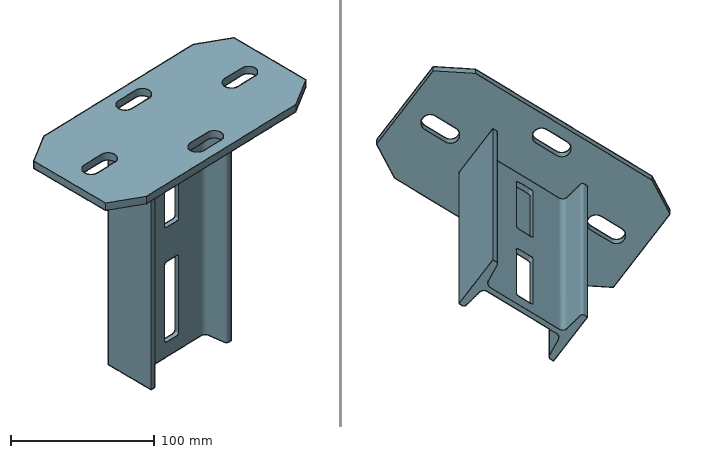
import cadquery as cq

TOTAL_HEIGHT = 202.5

PLATE_WIDTH = 100.0
PLATE_LENGTH = 200.0
PLATE_THICKNESS = 6.5
CORNER_CUT_X = 15.0
CORNER_CUT_Y = 25.5

PLATE_SLOT_WIDTH = 13.0
PLATE_SLOT_LENGTH = 30.0
SLOT_SPACING_X = 70.0
SLOT_SPACING_Y = 2 * SLOT_SPACING_X

POST_HEIGHT = TOTAL_HEIGHT - PLATE_THICKNESS
SECTION_DEPTH = 80.0
FLANGE_WIDTH = 42.0
WEB_THICKNESS = 3.8
FLANGE_THICKNESS = 6.0
FLANGE_TAPER = 0.14
ROOT_RADIUS = 4.0
TIP_RADIUS = 2.2

WINDOW_WIDTH = 14.0
WINDOW_LENGTH = 70.0
WINDOW_PITCH = 100.0
WINDOW_CORNER_RADIUS = 2.0


def make_plate():
    """Head plate with four cut corners and four slots."""
    half_width = PLATE_WIDTH / 2
    half_length = PLATE_LENGTH / 2
    inner_x = half_width - CORNER_CUT_X
    inner_y = half_length - CORNER_CUT_Y
    outline = [
        (half_width, inner_y),
        (inner_x, half_length),
        (-inner_x, half_length),
        (-half_width, inner_y),
        (-half_width, -inner_y),
        (-inner_x, -half_length),
        (inner_x, -half_length),
        (half_width, -inner_y),
    ]
    slot_centres = [
        (SLOT_SPACING_X / 2, 0),
        (-SLOT_SPACING_X / 2, 0),
        (0, SLOT_SPACING_Y / 2),
        (0, -SLOT_SPACING_Y / 2),
    ]
    base_plane = cq.Workplane("XY", origin=(0, 0, POST_HEIGHT))
    blank = base_plane.polyline(outline).close().extrude(PLATE_THICKNESS)
    slots = (
        base_plane
        .pushPoints(slot_centres)
        .slot2D(PLATE_SLOT_LENGTH, PLATE_SLOT_WIDTH, angle=90)
        .extrude(PLATE_THICKNESS)
    )
    return blank.cut(slots)


def flange_inner_y(x):
    """Distance from the section centre to the tapered inner flange face at x."""
    return SECTION_DEPTH / 2 - FLANGE_THICKNESS + FLANGE_TAPER * (x - FLANGE_WIDTH / 4)


def edges_at(x, y):
    """Selector for the four vertical edges at (+-x, +-y)."""
    margin = TIP_RADIUS / 2
    boxes = [
        cq.selectors.BoxSelector(
            (side_x - margin, side_y - margin, 0),
            (side_x + margin, side_y + margin, POST_HEIGHT),
        )
        for side_x in (-x, x)
        for side_y in (-y, y)
    ]
    near_corners = boxes[0] + boxes[1] + boxes[2] + boxes[3]
    return cq.selectors.StringSyntaxSelector("|Z") & near_corners


def make_i_section():
    """Post body before the web windows, with rounded flange tips and roots."""
    half_depth = SECTION_DEPTH / 2
    tip_x = FLANGE_WIDTH / 2
    root_x = WEB_THICKNESS / 2
    tip_y = flange_inner_y(tip_x)
    root_y = flange_inner_y(root_x)
    outline = [
        (-tip_x, half_depth),
        (tip_x, half_depth),
        (tip_x, tip_y),
        (root_x, root_y),
        (root_x, -root_y),
        (tip_x, -tip_y),
        (tip_x, -half_depth),
        (-tip_x, -half_depth),
        (-tip_x, -tip_y),
        (-root_x, -root_y),
        (-root_x, root_y),
        (-tip_x, tip_y),
    ]
    section = cq.Workplane("XY").polyline(outline).close().extrude(POST_HEIGHT)
    section = section.edges(edges_at(root_x, root_y)).fillet(ROOT_RADIUS)
    return section.edges(edges_at(tip_x, tip_y)).fillet(TIP_RADIUS)


def make_windows():
    """Cutters for the two web windows, centred on the post height."""
    centres = [(0, POST_HEIGHT / 2 + side * WINDOW_PITCH / 2) for side in (-1, 1)]
    return (
        cq.Workplane("YZ")
        .pushPoints(centres)
        .rect(WINDOW_WIDTH, WINDOW_LENGTH)
        .extrude(WEB_THICKNESS, both=True)
        .edges("|X")
        .fillet(WINDOW_CORNER_RADIUS)
    )


plate = make_plate()
post = make_i_section().cut(make_windows())

result = cq.Compound.makeCompound([plate.val(), post.val()])